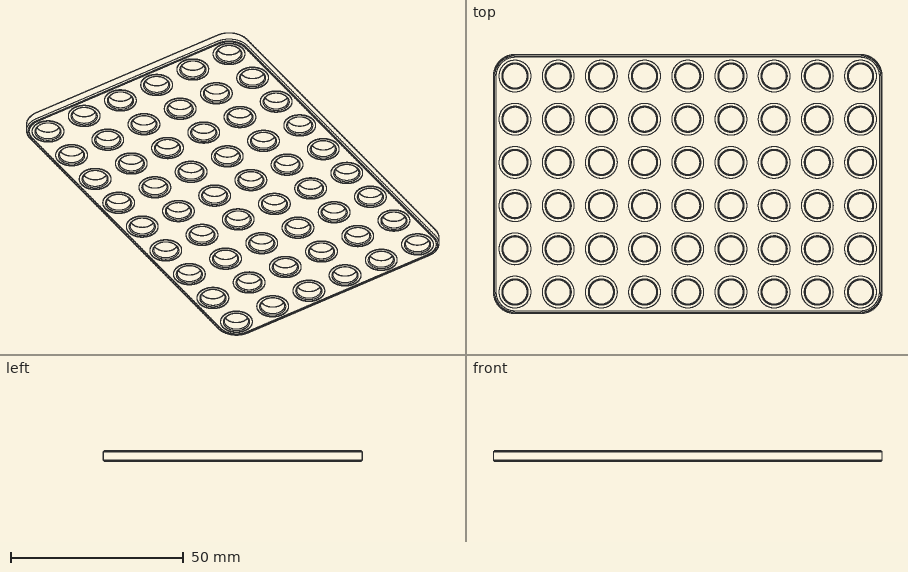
import cadquery as cq

columns = 9
rows = 6
length = 112.5
pitch = length / columns
width = rows * pitch
thickness = 3.2
corner_radius = pitch / 2
edge_chamfer = 0.39

hole_diameter = 7.0
mouth_chamfer = 0.32

field_margin = 0.8
field_depth = 0.2
ring_diameter = 9.2


def make_plate():
    """Rounded rectangular plate with bevelled top and bottom rims, standing on Z = 0."""
    plate = cq.Workplane("XY").box(length, width, thickness, centered=(True, True, False))
    plate = plate.edges("|Z").fillet(corner_radius)
    return plate.faces("<Z or >Z").edges().chamfer(edge_chamfer)


def make_hole_cutter():
    """Solid of revolution about Z that cuts one hole with both of its bevelled mouths."""
    hole_radius = hole_diameter / 2
    mouth_radius = hole_radius + mouth_chamfer
    profile = [
        (0, 0),
        (mouth_radius, 0),
        (hole_radius, mouth_chamfer),
        (hole_radius, thickness - mouth_chamfer),
        (mouth_radius, thickness),
        (0, thickness),
    ]
    return cq.Workplane("XZ").polyline(profile).close().revolve(360, (0, 0), (0, 1)).val()


def make_field(base_height):
    """Thin slab that sinks the field into one face, pierced where the rings stay."""
    field_length = length - 2 * field_margin
    field_width = width - 2 * field_margin
    field = cq.Workplane("XY", origin=(0, 0, base_height))
    field = field.box(field_length, field_width, field_depth, centered=(True, True, False))
    field = field.edges("|Z").fillet(corner_radius - field_margin)
    rings = cq.Workplane("XY", origin=(0, 0, base_height)).rarray(pitch, pitch, columns, rows)
    rings = rings.circle(ring_diameter / 2).extrude(field_depth)
    return field.cut(rings)


result = make_plate()
for base_height in (0, thickness - field_depth):
    result = result.cut(make_field(base_height))

hole_cutter = make_hole_cutter()
hole_grid = cq.Workplane("XY").rarray(pitch, pitch, columns, rows)
hole_cutters = hole_grid.eachpoint(lambda place: hole_cutter.moved(place))
result = result.cut(hole_cutters)